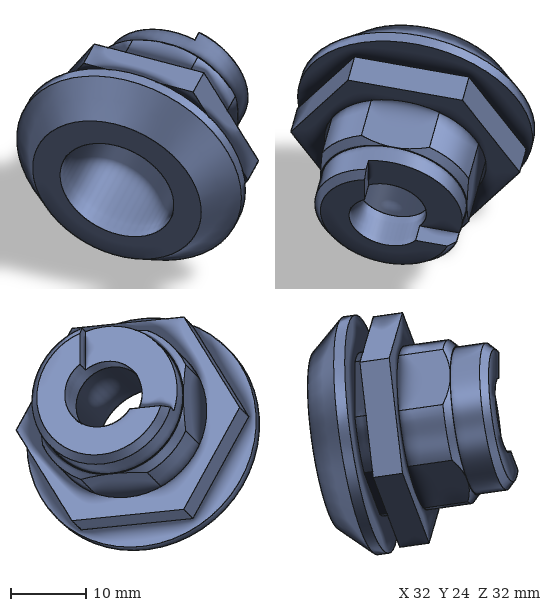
import cadquery as cq


FLANGE_RADIUS = 16.0
FLANGE_FACE_RADIUS = 12.0
CONE_END_Y = 4.5
FLANGE_BACK_Y = 6.0

SHANK_RADIUS = 11.0
FLAT_DISTANCE = 10.0
SHANK_END_Y = 19.0
CHAMFER = 1.0

COLLAR_RADIUS = 9.9
COLLAR_END_Y = 24.0
CUTOUT_START_Y = 21.5
CUTOUT_OFFSET = 2.88

BORE_RADIUS = 5.0
COUNTERBORE_RADIUS = 8.1
COUNTERBORE_DEPTH = SHANK_END_Y

NUT_ACROSS_FLATS = 27.0
NUT_START_Y = 8.0
NUT_THICKNESS = 4.0
NUT_TURN = 30


def section_plane(y):
    """Sketch plane at the given y, extruding toward +Y; its local x points to -X."""
    return cq.Workplane(cq.Plane(origin=(0, y, 0), xDir=(-1, 0, 0), normal=(0, 1, 0)))


def cylinder(radius, start_y, end_y):
    return section_plane(start_y).circle(radius).extrude(end_y - start_y)


def make_flange():
    """Disc with a conical front."""
    profile = [
        (0, 0),
        (FLANGE_FACE_RADIUS, 0),
        (FLANGE_RADIUS, CONE_END_Y),
        (FLANGE_RADIUS, FLANGE_BACK_Y),
        (0, FLANGE_BACK_Y),
    ]
    return cq.Workplane("XY").polyline(profile).close().revolve(360, (0, 0), (0, 1))


def make_shank():
    """Chamfered cylinder trimmed by a square to leave four flats."""
    round_shank = cylinder(SHANK_RADIUS, FLANGE_BACK_Y, SHANK_END_Y).faces(">Y").chamfer(CHAMFER)
    across_flats = 2 * FLAT_DISTANCE
    shank_length = SHANK_END_Y - FLANGE_BACK_Y
    square = section_plane(FLANGE_BACK_Y).rect(across_flats, across_flats).extrude(shank_length)
    return round_shank.intersect(square)


def make_collar():
    """Chamfered ring end with its -X, +Z corner cut away."""
    collar = cylinder(COLLAR_RADIUS, SHANK_END_Y, COLLAR_END_Y).faces(">Y").chamfer(CHAMFER)
    cutout_side = COLLAR_RADIUS + CUTOUT_OFFSET
    cutout = (
        section_plane(CUTOUT_START_Y)
        .center(-CUTOUT_OFFSET, -CUTOUT_OFFSET)
        .rect(cutout_side, cutout_side, centered=False)
        .extrude(COLLAR_END_Y - CUTOUT_START_Y)
    )
    return collar.cut(cutout)


def make_bushing():
    """Flange, shank and collar in one piece, with the stepped bore through them."""
    bushing = make_flange().union(make_shank()).union(make_collar())
    bore = cylinder(BORE_RADIUS, 0, COLLAR_END_Y)
    counterbore = cylinder(COUNTERBORE_RADIUS, 0, COUNTERBORE_DEPTH)
    return bushing.cut(bore).cut(counterbore)


def make_nut():
    """Hexagonal nut with two corners on the X axis and a round hole fitting the shank."""
    return (
        section_plane(NUT_START_Y)
        .transformed(rotate=(0, 0, NUT_TURN))
        .polygon(6, NUT_ACROSS_FLATS, circumscribed=True)
        .circle(SHANK_RADIUS)
        .extrude(NUT_THICKNESS)
    )


bushing = make_bushing()
nut = make_nut()

result = cq.Compound.makeCompound([bushing.solids().val(), nut.solids().val()])